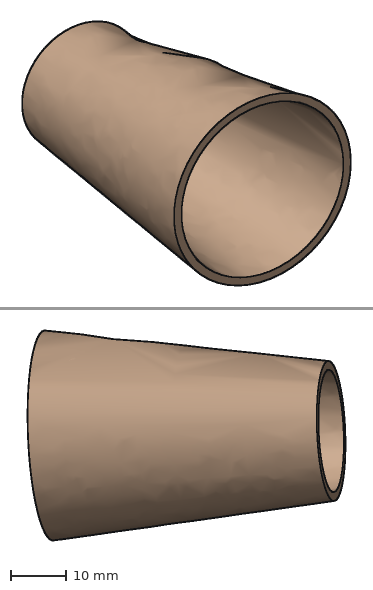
import cadquery as cq

length = 50.8
large_diameter = 38.1
small_diameter = 25.4
wall = 1.65

offset = (large_diameter - small_diameter) / 2


def tapered_solid(small_end, large_end):
    """Loft between the small circle at X = 0 and the large circle at X = length."""
    return (
        cq.Workplane("YZ")
        .center(-offset, 0)
        .circle(small_end / 2)
        .workplane(offset=length)
        .center(offset, 0)
        .circle(large_end / 2)
        .loft(ruled=True, combine=True)
    )


outer_body = tapered_solid(small_diameter, large_diameter)
bore = tapered_solid(small_diameter - 2 * wall, large_diameter - 2 * wall)

result = outer_body.cut(bore)